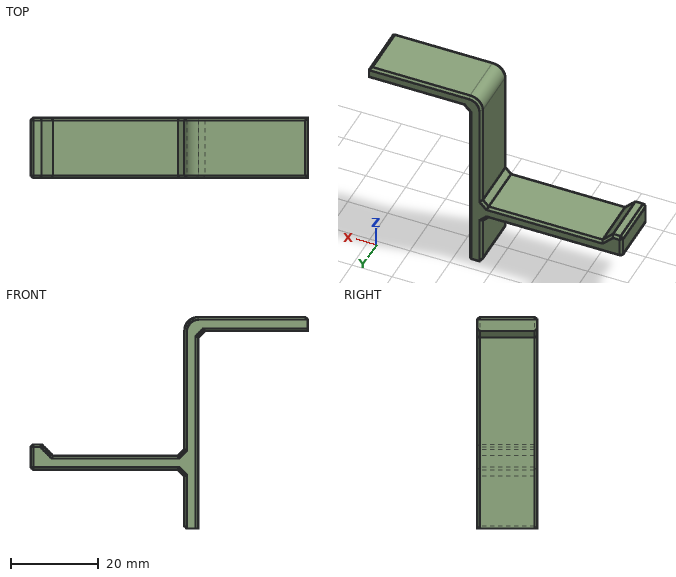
import cadquery as cq

length = 63.3
width = 13.8
height = 48.3

wall = 3.2
bevel = 0.65
gusset = 1.45
bend_radius = wall

post_right = 38.3
post_left = post_right - wall
shelf_bottom = 13.4
shelf_top = shelf_bottom + wall
arm_bottom = height - wall

lip_height = 2.6
lip_land = 2.55
lip_top = shelf_top + lip_height


def bracket_body():
    """Extrude the bracket outline, with its gussets and outer bend, centred on Y."""
    return (
        cq.Workplane("XZ")
        .moveTo(post_right, 0)
        .lineTo(post_right, arm_bottom - gusset)
        .lineTo(post_right + gusset, arm_bottom)
        .lineTo(length, arm_bottom)
        .lineTo(length, height)
        .lineTo(post_left + bend_radius, height)
        .radiusArc((post_left, height - bend_radius), -bend_radius)
        .lineTo(post_left, shelf_top + gusset)
        .lineTo(post_left - gusset, shelf_top)
        .lineTo(lip_land + lip_height, shelf_top)
        .lineTo(lip_land, lip_top)
        .lineTo(0, lip_top)
        .lineTo(0, shelf_bottom)
        .lineTo(post_left - gusset, shelf_bottom)
        .lineTo(post_left, shelf_bottom - gusset)
        .lineTo(post_left, 0)
        .close()
        .extrude(width / 2, both=True)
    )


def bevel_edges(body):
    """Bevel the side outlines and the outer corners, leaving the post foot and arm end square."""
    side_edges = body.faces("<Y or >Y").edges("not(<Z or >X)")
    outer_corners = [
        (0, lip_top),
        (0, shelf_bottom),
        (post_left, 0),
        (length, height),
    ]
    edges = side_edges
    for x, z in outer_corners:
        edges = edges.add(body.edges(cq.NearestToPointSelector((x, 0, z))))
    return edges.chamfer(bevel)


result = bevel_edges(bracket_body())